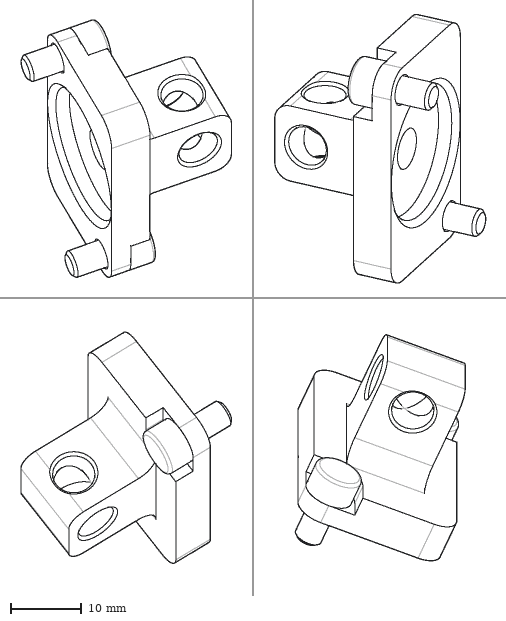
import cadquery as cq
import math


CHAMFER_ANGLE = 45

PLATE_WIDTH = 22.0
PLATE_HEIGHT = 34.0
PLATE_THICKNESS = 6.0
CORNER_RADIUS = 3.5

RECESS_DIAMETER = 20.0
RECESS_DEPTH = 3.0
RECESS_CHAMFER = 0.9
BORE_DIAMETER = 6.0
BORE_DEPTH = 6.0
BORE_END_CHAMFER = 0.3

ARM_SIDE = 12.0
ARM_END = 21.0
ARM_END_RADIUS = 2.5
ARM_ROOT_RADIUS = 3.0
CROSS_HOLE_DIAMETER = 6.0
CROSS_HOLE_Y = 16.0
CROSS_HOLE_CHAMFER = 0.45

SCREW_X = PLATE_WIDTH / 2 - CORNER_RADIUS
SCREW_Z = PLATE_HEIGHT / 2 - CORNER_RADIUS
SCREW_POSITIONS = [(-SCREW_X, SCREW_Z), (SCREW_X, -SCREW_Z)]
SEAT_Y = 3.0
HEAD_DIAMETER = 7.0
HEAD_HEIGHT = 4.0
HEAD_EDGE_RADIUS = 0.45
SHANK_DIAMETER = 4.0
SHANK_PROTRUSION = 5.0
SHANK_TIP_CHAMFER = 0.45
CLEARANCE_DIAMETER = 4.5
POCKET_RADIUS = 4.0


def y_cylinder(x, z, y_start, length, diameter):
    """Cylinder along +Y, centred on (x, z) and starting at y_start."""
    base = cq.Workplane("XZ", origin=(x, y_start, z))
    return base.circle(diameter / 2).extrude(-length)


def make_plate():
    plate = cq.Workplane("XY").box(PLATE_WIDTH, PLATE_THICKNESS, PLATE_HEIGHT, centered=(True, False, True))
    return plate.edges("|Y").fillet(CORNER_RADIUS)


def make_arm():
    """Square arm with rounded end edges and a root flared in Z."""
    half_side = ARM_SIDE / 2
    root_z = half_side + ARM_ROOT_RADIUS
    flare_y = PLATE_THICKNESS + ARM_ROOT_RADIUS
    profile = (
        cq.Workplane("YZ", origin=(-half_side, 0, 0))
        .moveTo(PLATE_THICKNESS, -root_z)
        .radiusArc((flare_y, -half_side), ARM_ROOT_RADIUS)
        .lineTo(ARM_END, -half_side)
        .lineTo(ARM_END, half_side)
        .lineTo(flare_y, half_side)
        .radiusArc((PLATE_THICKNESS, root_z), ARM_ROOT_RADIUS)
        .close()
    )
    return profile.extrude(ARM_SIDE).edges("|X and >Y").fillet(ARM_END_RADIUS)


def make_cross_hole(plane):
    """Cutter for a hole through the arm, chamfered at both mouths."""
    start = cq.Workplane(plane, origin=(0, CROSS_HOLE_Y, 0))
    hole = start.circle(CROSS_HOLE_DIAMETER / 2).extrude(ARM_SIDE / 2, both=True)
    mouth_radius = CROSS_HOLE_DIAMETER / 2 + CROSS_HOLE_CHAMFER
    for side in (-1, 1):
        mouth = start.workplane(offset=side * ARM_SIDE / 2).circle(mouth_radius)
        hole = hole.union(mouth.extrude(-side * CROSS_HOLE_CHAMFER, taper=CHAMFER_ANGLE))
    return hole


def make_recess():
    """Cutter for the chamfered round recess and its central blind bore."""
    rim_radius = RECESS_DIAMETER / 2 + RECESS_CHAMFER
    rim = cq.Workplane("XZ").circle(rim_radius).extrude(-RECESS_CHAMFER, taper=CHAMFER_ANGLE)
    recess = y_cylinder(0, 0, 0, RECESS_DEPTH, RECESS_DIAMETER)
    bore = y_cylinder(0, 0, RECESS_DEPTH, BORE_DEPTH, BORE_DIAMETER)
    bore = bore.faces(">Y").chamfer(BORE_END_CHAMFER)
    return recess.union(rim).union(bore)


def make_screw_pocket(x, z):
    """Cutter for a head pocket open at the plate corner, and its clearance hole."""
    pocket_side = 2 * (POCKET_RADIUS + CORNER_RADIUS)
    center_offset = pocket_side / 2 - POCKET_RADIUS
    center_x = x + math.copysign(center_offset, x)
    center_z = z + math.copysign(center_offset, z)
    pocket = (
        cq.Workplane("XY", origin=(center_x, SEAT_Y, center_z))
        .box(pocket_side, PLATE_THICKNESS - SEAT_Y, pocket_side, centered=(True, False, True))
        .edges("|Y")
        .fillet(POCKET_RADIUS)
    )
    return pocket.union(y_cylinder(x, z, 0, SEAT_Y, CLEARANCE_DIAMETER))


def make_bracket():
    bracket = make_plate().union(make_arm()).cut(make_recess())
    for plane in ("XY", "YZ"):
        bracket = bracket.cut(make_cross_hole(plane))
    for x, z in SCREW_POSITIONS:
        bracket = bracket.cut(make_screw_pocket(x, z))
    return bracket


def make_screw(x, z):
    head = y_cylinder(x, z, SEAT_Y, HEAD_HEIGHT, HEAD_DIAMETER).faces(">Y").edges().fillet(HEAD_EDGE_RADIUS)
    shank = y_cylinder(x, z, -SHANK_PROTRUSION, SHANK_PROTRUSION + SEAT_Y, SHANK_DIAMETER)
    shank = shank.faces("<Y").chamfer(SHANK_TIP_CHAMFER)
    return head.union(shank)


bracket = make_bracket()
screws = [make_screw(x, z) for x, z in SCREW_POSITIONS]

result = cq.Compound.makeCompound([bracket.val(), *[screw.val() for screw in screws]])